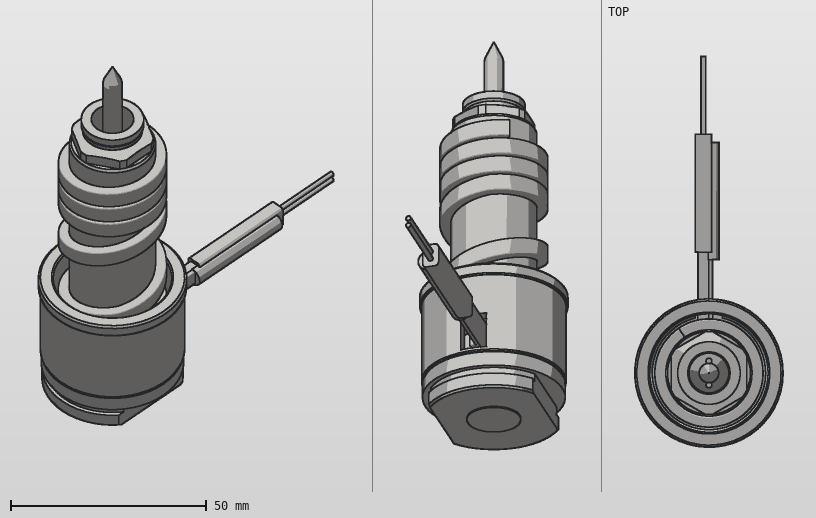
import cadquery as cq
import math

total_height = 108.2
overall_length = 100.0

foot_top = 0.3
disc_top = 4.2
groove_top = 6.4
ring_top = 10.6
cup_floor = 11.7
flange_bottom = 32.2
cup_top = 35.6
tube_top = 82.5
hex_edge_top = 85.2
hex_cone_top = 86.0
neck_bottom = 86.5
neck_top = 87.5
collar_bottom = 88.2
collar_top = 90.2

foot_radius = 6.9
disc_radius = 18.1
groove_radius = 17.0
ring_radius = 18.3
cup_radius = 18.5
flange_diameter = 38.0
flange_radius = flange_diameter / 2
cup_bore_radius = 15.1
tube_radius = 11.0
hex_corner_radius = 10.6
neck_radius = 7.7
neck_root_radius = 7.1
collar_radius = 8.0

disc_chamfer = 0.5
cup_chamfer = 0.3
flange_chamfer = 0.5
cup_mouth_chamfer = 0.4
cup_floor_chamfer = 0.6
tube_chamfer_width = 0.4
tube_chamfer_height = 0.8

base_flat_offset = 13.8
hex_across_flats = 19.3

bore_radius = 5.4
bore_floor = 67.1
torpedo_radius = 5.1
torpedo_top = 77.9
pin_radius = 2.5
pin_shoulder = 102.7
pin_cone_radius = 2.3
pin_cone_base = 103.7
pin_end_radius = 0.1
melt_hole_radius = 0.8
melt_hole_offset = 3.0

slot_width = 6.9
slot_top = 21.3

wire_thickness = 2.8
wire_height = 4.7
wire_fillet = 0.4
open_pitch = 21.6
dense_pitch = 5.2
open_start_angle = -38.0
open_end_angle = 362.0
bend_angle = 100.0
dense_end_angle = 1564.0
lower_end_angle = -1000.0
open_height_at_zero = 35.7

cable_height = 17.2
cable_start = tube_radius + 0.5
cable_left = -2.8
lead_right = 1.0
lead_height = 4.3
lead_fillet = 0.3
cable_center = cable_left + wire_thickness / 2
sheath_width = 4.2
sheath_height = 6.3
sheath_fillet = 1.0
sheath_start = 30.9
sheath_end = 61.1
sleeve_radius = 2.5
sleeve_offset = 0.1
sleeve_height = 17.0
sleeve_start = 29.0
sleeve_end = 59.0
core_radius = 0.6
core_spacing = 2.0
core_end = overall_length - flange_radius


def revolved(points):
    """Solid of revolution about Z from (radius, height) points."""
    return cq.Workplane("XZ").polyline(points).close().revolve(360, (0, 0), (0, 1))


def make_base_and_cup():
    outline = [
        (0, 0),
        (foot_radius, 0),
        (foot_radius, foot_top),
        (disc_radius - disc_chamfer, foot_top),
        (disc_radius, foot_top + disc_chamfer),
        (disc_radius, disc_top),
        (groove_radius, disc_top),
        (groove_radius, groove_top),
        (ring_radius, groove_top),
        (ring_radius, ring_top - cup_chamfer),
        (ring_radius - cup_chamfer, ring_top),
        (cup_radius - cup_chamfer, ring_top),
        (cup_radius, ring_top + cup_chamfer),
        (cup_radius, flange_bottom),
        (flange_radius - cup_chamfer, flange_bottom),
        (flange_radius, flange_bottom + cup_chamfer),
        (flange_radius, cup_top - flange_chamfer),
        (flange_radius - flange_chamfer, cup_top),
        (cup_bore_radius + cup_mouth_chamfer, cup_top),
        (cup_bore_radius, cup_top - cup_mouth_chamfer),
        (cup_bore_radius, cup_floor + cup_floor_chamfer),
        (cup_bore_radius - cup_floor_chamfer, cup_floor),
        (0, cup_floor),
    ]
    body = revolved(outline)

    flat_depth = disc_radius - base_flat_offset
    for side in (-1, 1):
        flat = cq.Workplane("XY").box(flat_depth, 2 * disc_radius, groove_top, centered=(True, True, False))
        body = body.cut(flat.translate((side * (base_flat_offset + flat_depth / 2), 0, 0)))

    slot = cq.Workplane("XY").box(slot_width, cup_radius, slot_top - cup_floor, centered=(True, False, False))
    return body.cut(slot.translate((0, tube_radius, cup_floor)))


def make_tube():
    return revolved(
        [
            (0, ring_top),
            (tube_radius, ring_top),
            (tube_radius, tube_top - tube_chamfer_height),
            (tube_radius - tube_chamfer_width, tube_top),
            (0, tube_top),
        ]
    )


def make_hex():
    turned = revolved(
        [
            (0, tube_top),
            (hex_corner_radius, tube_top),
            (hex_corner_radius, hex_edge_top),
            (neck_root_radius, hex_cone_top),
            (0, hex_cone_top),
        ]
    )
    across_corners = hex_across_flats / math.cos(math.radians(30))
    prism = (
        cq.Workplane("XY", origin=(0, 0, tube_top))
        .polygon(6, across_corners)
        .extrude(hex_cone_top - tube_top)
        .rotate((0, 0, 0), (0, 0, 1), 30)
    )
    return turned.intersect(prism)


def make_collar():
    return revolved(
        [
            (0, hex_cone_top),
            (neck_root_radius, hex_cone_top),
            (neck_radius, neck_bottom),
            (neck_radius, neck_top),
            (collar_radius, collar_bottom),
            (collar_radius, collar_top),
            (0, collar_top),
        ]
    )


def make_torpedo():
    body = revolved(
        [
            (0, bore_floor),
            (torpedo_radius, bore_floor),
            (pin_radius, torpedo_top),
            (pin_radius, pin_shoulder),
            (pin_cone_radius, pin_cone_base),
            (pin_end_radius, total_height),
            (0, total_height),
        ]
    )
    holes = (
        cq.Workplane("XY", origin=(0, 0, bore_floor))
        .pushPoints([(0, melt_hole_offset), (0, -melt_hole_offset)])
        .circle(melt_hole_radius)
        .extrude(torpedo_top - bore_floor)
    )
    return body.cut(holes)


def make_nozzle():
    body = make_base_and_cup().union(make_tube()).union(make_hex()).union(make_collar())
    bore = cq.Workplane("XY", origin=(0, 0, bore_floor)).circle(bore_radius).extrude(collar_top - bore_floor)
    return body.cut(bore).union(make_torpedo())


def helical_wire(start_angle, start_height, sweep_angle, pitch):
    """One stretch of the coil, rising from start_angle (degrees) at a constant pitch."""
    rise = pitch * sweep_angle / 360
    path = cq.Wire.makeHelix(pitch, rise, tube_radius)
    section = (
        cq.Sketch()
        .push([(tube_radius + wire_thickness / 2, 0)])
        .rect(wire_thickness, wire_height)
        .reset()
        .vertices()
        .fillet(wire_fillet)
    )
    stretch = cq.Workplane("XZ").placeSketch(section).sweep(cq.Workplane(obj=path), isFrenet=True)
    return stretch.rotate((0, 0, 0), (0, 0, 1), start_angle).translate((0, 0, start_height))


def make_coil():
    bend_pitch = (open_pitch + dense_pitch) / 2
    stretches = [
        (open_start_angle - bend_angle, dense_pitch),
        (open_start_angle, bend_pitch),
        (open_end_angle, open_pitch),
        (open_end_angle + bend_angle, bend_pitch),
        (dense_end_angle, dense_pitch),
    ]
    lower_rise = dense_pitch * (open_start_angle - bend_angle - lower_end_angle) / 360
    bend_rise = bend_pitch * bend_angle / 360
    height = open_height_at_zero + open_pitch * open_start_angle / 360 - bend_rise - lower_rise
    angle = lower_end_angle
    coil = None
    for end_angle, pitch in stretches:
        stretch = helical_wire(angle, height, end_angle - angle, pitch)
        coil = stretch if coil is None else coil.union(stretch)
        height += pitch * (end_angle - angle) / 360
        angle = end_angle
    return coil


def block_along_y(left, right, height, start, end):
    """Block centred on the cable height, between two X and two Y positions."""
    block = cq.Workplane("XY").box(right - left, end - start, height)
    return block.translate(((left + right) / 2, (start + end) / 2, cable_height))


def rod_along_y(x, z, radius, start, end):
    return cq.Workplane("XZ", origin=(x, start, z)).circle(radius).extrude(start - end)


def make_cable():
    cable_right = cable_left + wire_thickness
    cable = block_along_y(cable_left, cable_right, wire_height, cable_start, sheath_start)
    cable = cable.edges("|Y").fillet(wire_fillet)
    lead = block_along_y(cable_center, lead_right, lead_height, cable_start, sleeve_start)
    lead = lead.edges("|Y and >X").fillet(lead_fillet)
    sheath = block_along_y(
        cable_center - sheath_width / 2,
        cable_center + sheath_width / 2,
        sheath_height,
        sheath_start,
        sheath_end,
    )
    sheath = sheath.edges("|Y").fillet(sheath_fillet)
    sleeve = rod_along_y(sleeve_offset, sleeve_height, sleeve_radius, sleeve_start, sleeve_end)
    cable = cable.union(lead).union(sheath).union(sleeve)
    for side in (-1, 1):
        core_height = cable_height + side * core_spacing / 2
        cable = cable.union(rod_along_y(cable_center, core_height, core_radius, sheath_end, core_end))
    return cable


nozzle = make_nozzle()
heater = make_coil().union(make_cable())

result = cq.Compound.makeCompound([nozzle.val(), heater.val()])